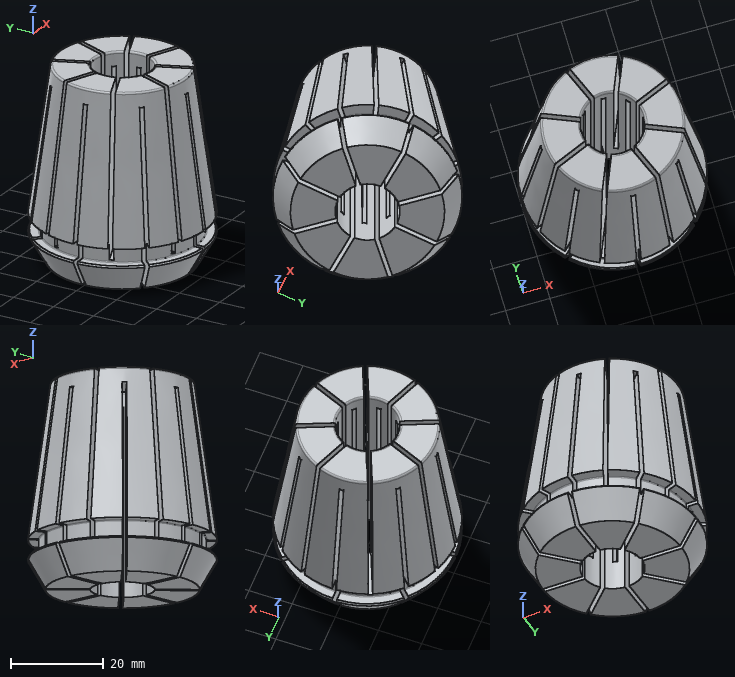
import cadquery as cq
import math

height = 46.0
outer_diameter = 41.05
outer_radius = outer_diameter / 2

flange_angle = 30.0
flange_ridge_z = 6.6
flange_top_z = 7.0
flange_top_radius = 20.2

groove_top_z = 11.1
groove_radius = 18.15
groove_fillet = 0.2

taper_angle = 8.0

bore_radius = 7.0

top_fillet = 0.45

slit_count = 8
slit_pitch = 360 / slit_count
slit_width = 1.0
bottom_slit_top_z = 42.45
top_slit_floor_z = 7.5

bottom_radius = outer_radius - flange_ridge_z * math.tan(math.radians(flange_angle))


def taper_radius(z):
    """Outer radius of the clamping taper at height z."""
    return outer_radius - (z - groove_top_z) * math.tan(math.radians(taper_angle))


def groove_box():
    """Selection box that holds only the two corner edges at the groove floor."""
    reach = (groove_radius + flange_top_radius) / 2
    return cq.selectors.BoxSelector(
        (-reach, -reach, flange_ridge_z),
        (reach, reach, groove_top_z + groove_fillet),
        boundingbox=True,
    )


def make_body():
    """Revolve the solid collet body, bore included, about the Z axis."""
    profile = [
        (bore_radius, 0),
        (bottom_radius, 0),
        (outer_radius, flange_ridge_z),
        (flange_top_radius, flange_top_z),
        (groove_radius, flange_top_z),
        (groove_radius, groove_top_z),
        (outer_radius, groove_top_z),
        (taper_radius(height), height),
        (bore_radius, height),
    ]
    body = cq.Workplane("XZ").polyline(profile).close().revolve(360, (0, 0), (0, 1))
    body = body.edges(groove_box()).fillet(groove_fillet)
    return body.faces(">Z").edges("%CIRCLE").fillet(top_fillet)


def make_slits(low_z, high_z, start_angle):
    """Make a full ring of radial slit cutters between two heights."""
    blade_length = outer_diameter + slit_width
    blade_count = slit_count // 2
    blades = cq.Workplane("XY")
    for index in range(blade_count):
        angle = start_angle + index * slit_pitch
        blade = (
            cq.Workplane("XY", origin=(0, 0, low_z))
            .rect(blade_length, slit_width)
            .extrude(high_z - low_z)
            .rotate((0, 0, 0), (0, 0, 1), angle)
        )
        blades = blades.union(blade)
    return blades


bottom_slits = make_slits(0, bottom_slit_top_z, 0)
top_slits = make_slits(top_slit_floor_z, height, slit_pitch / 2)

result = make_body().cut(bottom_slits).cut(top_slits)